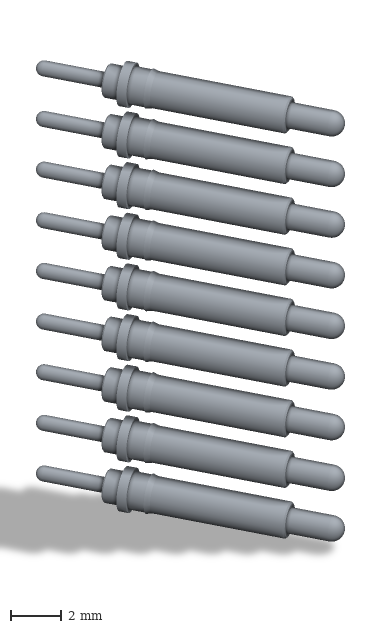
import cadquery as cq
import math

PIN_COUNT = 9
ROW_HEIGHT = 22.15

TAIL_DIAMETER = 0.65
NOSE_DIAMETER = 1.4
FLANGE_DIAMETER = 1.84
NECK_DIAMETER = 1.55
RIDGE_DIAMETER = 1.65
BARREL_DIAMETER = 1.5
PLUNGER_DIAMETER = 1.06

NOSE_START = 2.92
FLANGE_START = 3.63
FLANGE_END = 4.03
RIDGE_PEAK = 4.75
RIDGE_END = 4.98
BARREL_END = 10.59
PIN_LENGTH = 12.87

NOSE_CHAMFER = 0.07
BARREL_CHAMFER = 0.07

PITCH = (ROW_HEIGHT - FLANGE_DIAMETER) / (PIN_COUNT - 1)


def contact_pin():
    """One pin: its half outline revolved about the X axis."""
    tail = TAIL_DIAMETER / 2
    nose = NOSE_DIAMETER / 2
    flange = FLANGE_DIAMETER / 2
    neck = NECK_DIAMETER / 2
    ridge = RIDGE_DIAMETER / 2
    barrel = BARREL_DIAMETER / 2
    plunger = PLUNGER_DIAMETER / 2
    arc_middle = math.sqrt(0.5)

    outline = (
        cq.Workplane("XY")
        .moveTo(0, 0)
        .threePointArc((tail * (1 - arc_middle), tail * arc_middle), (tail, tail))
        .lineTo(NOSE_START, tail)
        .lineTo(NOSE_START, nose - NOSE_CHAMFER)
        .lineTo(NOSE_START + NOSE_CHAMFER, nose)
        .lineTo(FLANGE_START, nose)
        .lineTo(FLANGE_START, flange)
        .lineTo(FLANGE_END, flange)
        .lineTo(FLANGE_END, neck)
        .lineTo(RIDGE_PEAK, neck)
        .lineTo(RIDGE_PEAK, ridge)
        .lineTo(RIDGE_END, barrel)
        .lineTo(BARREL_END - BARREL_CHAMFER, barrel)
        .lineTo(BARREL_END, barrel - BARREL_CHAMFER)
        .lineTo(BARREL_END, plunger)
        .lineTo(PIN_LENGTH - plunger, plunger)
        .threePointArc(
            (PIN_LENGTH - plunger * (1 - arc_middle), plunger * arc_middle),
            (PIN_LENGTH, 0),
        )
        .close()
    )
    return outline.revolve(360, (0, 0, 0), (1, 0, 0))


pin = contact_pin()
pins = []
for index in range(PIN_COUNT):
    height = (index - (PIN_COUNT - 1) / 2) * PITCH
    pins.append(pin.translate((0, 0, height)).val())

result = cq.Compound.makeCompound(pins)